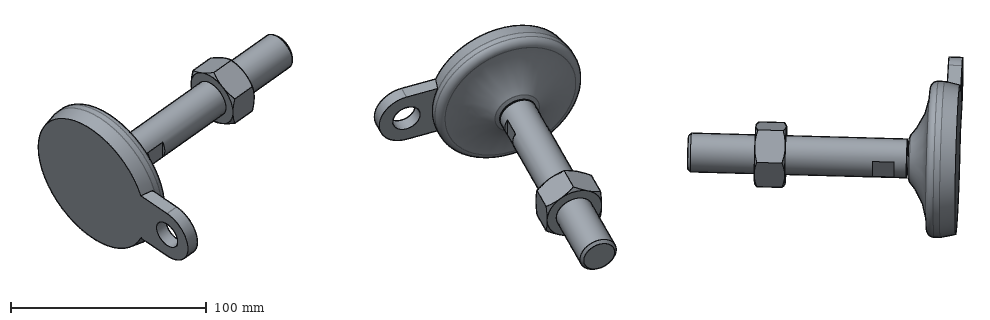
import cadquery as cq
import math


total_height = 138.0

base_radius = 40.0
base_underside_radius = 38.3
rim_bottom = 7.8
rim_top = 11.0
rim_rounding = 4.0
shoulder_radius = base_radius - rim_rounding
shoulder_height = rim_top + rim_rounding
crown_radius = 12.2
crown_edge_height = 24.3
crown_flat_radius = 10.0
base_height = 25.2

lug_reach = 69.0
lug_end_radius = 15.0
lug_thickness = 7.0
lug_hole_diameter = 15.0
lug_center_x = lug_reach - lug_end_radius

stud_diameter = 20.0
stud_length = 112.0
stud_chamfer = 1.5
stud_start = total_height - stud_length
neck_diameter = 10.0

flats_width = 17.0
flats_length = 11.0
flats_offset = 6.3
flats_start = stud_start + flats_offset

nut_width = 30.0
nut_thickness = 15.6
nut_start = 88.0
nut_chamfer_angle = 30.0
nut_corner_radius = nut_width / math.sqrt(3)


def cylinder_along_y(diameter, start, end):
    return cq.Workplane("XZ", origin=(0, start, 0)).circle(diameter / 2).extrude(start - end)


def revolve_about_y(profile):
    return profile.close().revolve(360, (0, 0, 0), (0, 1, 0))


def make_base():
    rounding_offset = rim_rounding * math.cos(math.pi / 4)
    rounding_mid = (shoulder_radius + rounding_offset, rim_top + rounding_offset)
    profile = (
        cq.Workplane("XY")
        .lineTo(base_underside_radius, 0)
        .lineTo(base_radius, rim_bottom)
        .lineTo(base_radius, rim_top)
        .threePointArc(rounding_mid, (shoulder_radius, shoulder_height))
        .tangentArcPoint((crown_radius, crown_edge_height), relative=False)
        .lineTo(crown_flat_radius, base_height)
        .lineTo(0, base_height)
    )
    return revolve_about_y(profile)


def add_lug(body):
    tab = (
        cq.Workplane("XZ")
        .moveTo(0, -lug_end_radius)
        .lineTo(lug_center_x, -lug_end_radius)
        .threePointArc((lug_reach, 0), (lug_center_x, lug_end_radius))
        .lineTo(0, lug_end_radius)
        .close()
        .extrude(-lug_thickness)
    )
    hole = cylinder_along_y(lug_hole_diameter, 0, lug_thickness).translate((lug_center_x, 0, 0))
    return body.union(tab.cut(hole))


def make_stud():
    stud = cylinder_along_y(stud_diameter, stud_start, total_height)
    stud = stud.faces(">Y").chamfer(stud_chamfer)
    flat_depth = (stud_diameter - flats_width) / 2
    for side in (-1, 1):
        cutter = cq.Workplane("XY").box(flat_depth, flats_length, stud_diameter)
        cutter_x = side * (flats_width + flat_depth) / 2
        stud = stud.cut(cutter.translate((cutter_x, flats_start + flats_length / 2, 0)))
    return stud


def make_nut():
    hexagon = (
        cq.Workplane("XZ", origin=(0, nut_start, 0))
        .transformed(rotate=(0, 0, 90))
        .polygon(6, 2 * nut_corner_radius)
        .extrude(-nut_thickness)
    )
    face_radius = nut_width / 2
    chamfer_height = (nut_corner_radius - face_radius) * math.tan(math.radians(nut_chamfer_angle))
    nut_end = nut_start + nut_thickness
    blank = revolve_about_y(
        cq.Workplane("XY")
        .moveTo(0, nut_start)
        .lineTo(face_radius, nut_start)
        .lineTo(nut_corner_radius, nut_start + chamfer_height)
        .lineTo(nut_corner_radius, nut_end - chamfer_height)
        .lineTo(face_radius, nut_end)
        .lineTo(0, nut_end)
    )
    return hexagon.intersect(blank)


neck = cylinder_along_y(neck_diameter, base_height, stud_start)
result = add_lug(make_base()).union(neck).union(make_stud()).union(make_nut())